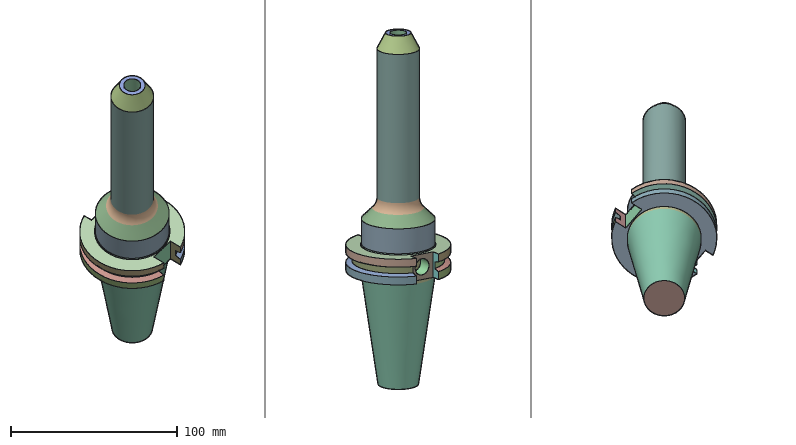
import cadquery as cq
import math

total_length = 220.6
gauge_height = 68.5
gauge_radius = 22.3
taper_ratio = 7 / 24
small_end_radius = gauge_radius - gauge_height * taper_ratio / 2

flange_radius = 31.66
flange_bottom = 71.5
flange_top = 87.5
flange_middle = (flange_bottom + flange_top) / 2
groove_radius = 28.0
groove_mouth_half_height = 3.0
groove_floor_half_height = 2.0

collar_radius = 22.3
collar_top = 104.0
lip_width = 0.5
lip_height = 0.7

neck_radius = 12.9
blend_radius = 9.3
shoulder_angle = math.radians(45)
shoulder_radius = neck_radius + blend_radius * (1 - math.cos(shoulder_angle))
shoulder_top = collar_top + collar_radius - shoulder_radius
blend_top = shoulder_top + blend_radius * math.sin(shoulder_angle)
half_angle = shoulder_angle / 2
blend_middle = (
    neck_radius + blend_radius * (1 - math.cos(half_angle)),
    blend_top - blend_radius * math.sin(half_angle),
)

tip_radius = 7.7
tip_length = 10.0
bore_radius = 5.0
bore_depth = 35.3

slot_width = 16.0
left_slot_floor = 25.0
right_slot_floor = 23.0
drive_hole_radius = 5.0
drive_hole_depth = 8.8


def make_body():
    """Revolve the half section (radius, height) about Z."""
    section = (
        cq.Workplane("XZ")
        .moveTo(0, 0)
        .lineTo(small_end_radius, 0)
        .lineTo(gauge_radius, gauge_height)
        .lineTo(gauge_radius, flange_bottom)
        .lineTo(flange_radius, flange_bottom)
        .lineTo(flange_radius, flange_middle - groove_mouth_half_height)
        .lineTo(groove_radius, flange_middle - groove_floor_half_height)
        .lineTo(groove_radius, flange_middle + groove_floor_half_height)
        .lineTo(flange_radius, flange_middle + groove_mouth_half_height)
        .lineTo(flange_radius, flange_top)
        .lineTo(collar_radius + lip_width, flange_top)
        .lineTo(collar_radius, flange_top + lip_height)
        .lineTo(collar_radius, collar_top)
        .lineTo(shoulder_radius, shoulder_top)
        .threePointArc(blend_middle, (neck_radius, blend_top))
        .lineTo(neck_radius, total_length - tip_length)
        .lineTo(tip_radius, total_length)
        .lineTo(0, total_length)
        .close()
    )
    return section.revolve(360, (0, 0, 0), (0, 1, 0))


def make_slot(side, floor_distance):
    """Block that opens the flange outward from the slot floor; side is -1 or +1 along X."""
    flange_height = flange_top - flange_bottom
    block = cq.Workplane("XY").box(flange_radius, slot_width, flange_height)
    return block.translate((side * (floor_distance + flange_radius / 2), 0, flange_middle))


def make_tool_bore():
    bottom = cq.Workplane("XY").workplane(offset=total_length - bore_depth)
    return bottom.circle(bore_radius).extrude(bore_depth)


def make_drive_hole():
    floor = cq.Workplane("YZ", origin=(-left_slot_floor, 0, flange_middle))
    return floor.circle(drive_hole_radius).extrude(drive_hole_depth)


result = (
    make_body()
    .cut(make_slot(-1, left_slot_floor))
    .cut(make_slot(1, right_slot_floor))
    .cut(make_tool_bore())
    .cut(make_drive_hole())
)